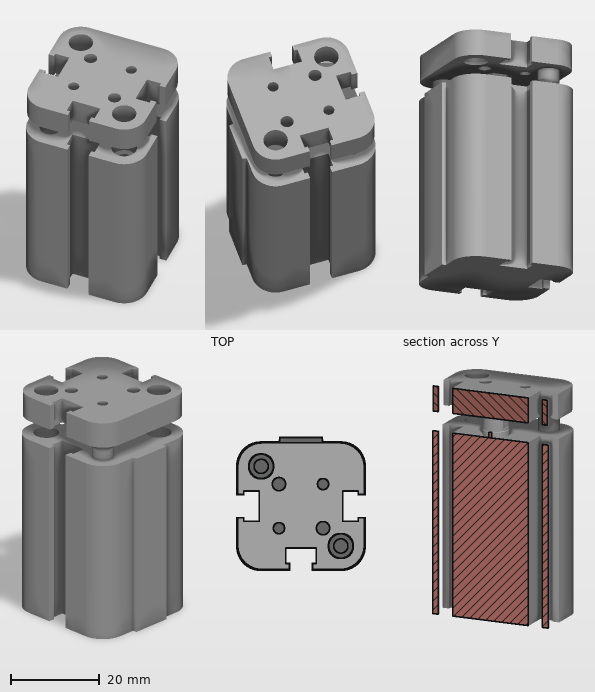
import cadquery as cq

total_height = 53.5
housing_side = 29.0
housing_height = 43.0
plate_side = 28.5
plate_thickness = 6.0
plate_bottom = total_height - plate_thickness

corner_offset = 9.0

rail_projection = 1.0
rail_base_width = 9.85
rail_crest_width = 9.5

slot_floor_offset = 9.45
slot_lip_offset = 12.9
slot_opening_width = 5.2
slot_inner_width = 6.8
slot_angles = (0, 90, 180)

counterbore_diameter = 5.8
counterbore_depth = 3.5
screw_hole_diameter = 3.2
screw_hole_depth = 12.5
plate_access_diameter = 5.5

mount_offset = 5.0
thread_hole_diameter = 2.5
pin_hole_diameter = 3.0

guide_rod_diameter = 5.0
piston_rod_diameter = 6.0
piston_collar_height = 1.4
piston_collar_chamfer = 0.1
piston_neck_diameter = 5.8
flats_width = 5.0
flats_bottom = 1.85


def rising_diagonal(offset):
    """Points on the (-X, -Y) and (+X, +Y) corner axes."""
    return [(-offset, -offset), (offset, offset)]


def falling_diagonal(offset):
    """Points on the (-X, +Y) and (+X, -Y) corner axes."""
    return [(-offset, offset), (offset, -offset)]


def cylinders(points, diameter, bottom, top):
    """Vertical cylinders between two heights."""
    return (
        cq.Workplane("XY", origin=(0, 0, bottom))
        .pushPoints(points)
        .circle(diameter / 2)
        .extrude(top - bottom)
    )


def rounded_block(side, bottom, top):
    """Square block whose corner rounding is centered on the corner axes."""
    return (
        cq.Workplane("XY", origin=(0, 0, bottom))
        .rect(side, side)
        .extrude(top - bottom)
        .edges("|Z")
        .fillet(side / 2 - corner_offset)
    )


def box_between(x_start, x_end, width, bottom, top):
    """Box from x_start to x_end, centered on Y."""
    return (
        cq.Workplane("XY", origin=((x_start + x_end) / 2, 0, bottom))
        .rect(x_end - x_start, width)
        .extrude(top - bottom)
    )


def cut_t_slots(body, bottom, top):
    """Cut the T-slots over the full height of a body."""
    channel = box_between(-slot_lip_offset, -slot_floor_offset, slot_inner_width, bottom, top)
    opening = box_between(-housing_side, -slot_floor_offset, slot_opening_width, bottom, top)
    slot = channel.union(opening)
    for angle in slot_angles:
        body = body.cut(slot.rotate((0, 0, 0), (0, 0, 1), angle))
    return body


def make_rail():
    """Trapezoidal key rail, rooted at the center plane of the housing."""
    face = housing_side / 2
    crest = face + rail_projection
    return (
        cq.Workplane("XY")
        .polyline([
            (-rail_base_width / 2, 0),
            (rail_base_width / 2, 0),
            (rail_base_width / 2, face),
            (rail_crest_width / 2, crest),
            (-rail_crest_width / 2, crest),
            (-rail_base_width / 2, face),
        ])
        .close()
        .extrude(housing_height)
    )


def make_housing():
    """Cylinder housing with T-slots, key rail and counterbored screw holes."""
    body = rounded_block(housing_side, 0, housing_height).union(make_rail())
    body = cut_t_slots(body, 0, housing_height)
    screw_points = falling_diagonal(corner_offset)
    counterbore_floor = housing_height - counterbore_depth
    screw_hole_floor = housing_height - screw_hole_depth
    body = body.cut(cylinders(screw_points, screw_hole_diameter, screw_hole_floor, housing_height))
    return body.cut(cylinders(screw_points, counterbore_diameter, counterbore_floor, housing_height))


def make_piston_rod():
    """Chamfered collar standing on the housing, with a flatted neck above it."""
    collar_top = housing_height + piston_collar_height
    collar = (
        cylinders([(0, 0)], piston_rod_diameter, housing_height, collar_top)
        .faces(">Z")
        .chamfer(piston_collar_chamfer)
    )
    neck = cylinders([(0, 0)], piston_neck_diameter, collar_top, plate_bottom)
    flats_start = housing_height + flats_bottom
    for side in (-1, 1):
        waste = (
            cq.Workplane("XY", origin=(side * flats_width, 0, flats_start))
            .rect(flats_width, piston_rod_diameter)
            .extrude(plate_bottom - flats_start)
        )
        neck = neck.cut(waste)
    return collar.union(neck)


def make_carriage():
    """Slotted end plate carried by the piston rod and two guide rods."""
    plate = rounded_block(plate_side, plate_bottom, total_height)
    plate = cut_t_slots(plate, plate_bottom, total_height)
    holes = (
        (falling_diagonal(corner_offset), plate_access_diameter),
        (falling_diagonal(mount_offset), pin_hole_diameter),
        (rising_diagonal(mount_offset), thread_hole_diameter),
    )
    for points, diameter in holes:
        plate = plate.cut(cylinders(points, diameter, plate_bottom, total_height))
    guide_rods = cylinders(rising_diagonal(corner_offset), guide_rod_diameter, housing_height, plate_bottom)
    return plate.union(guide_rods).union(make_piston_rod())


housing = make_housing()
carriage = make_carriage()

result = cq.Compound.makeCompound([housing.val(), carriage.val()])